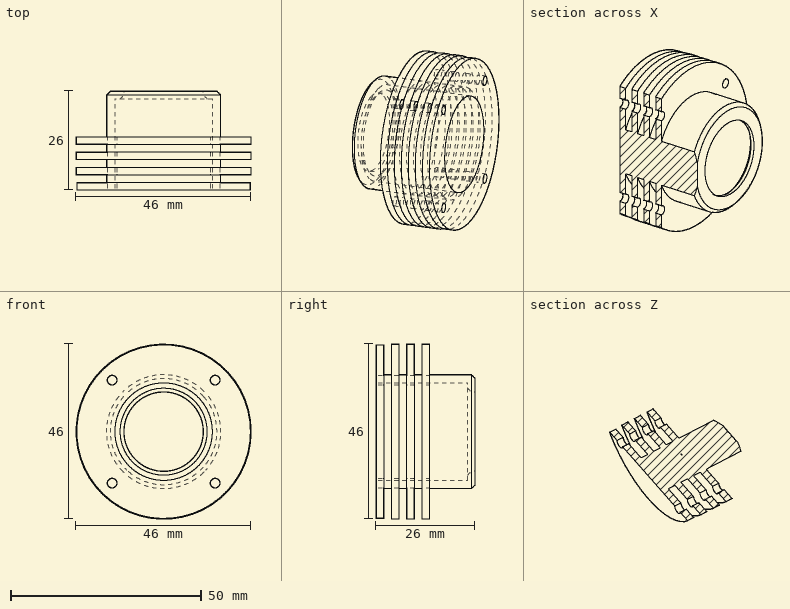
import cadquery as cq

length = 26.0
sleeve_diameter = 30.0
end_chamfer = 1.0

disc_count = 4
length_in_discs = 13
disc_thickness = length / length_in_discs
disc_pitch = 2 * disc_thickness
flange_diameter = 45.6
fin_diameter = 46.0

bore_diameter = 25.6
bevel_diameter = 22.85
lip_diameter = 20.8
lip_thickness = 2.02
lip_bevel = (bevel_diameter - lip_diameter) / 2
bore_depth = length - lip_thickness

hole_diameter = 2.5
hole_spacing = 27.05


def cylinder(diameter, start, depth):
    """Solid cylinder on the Y axis, extending toward +Y from start."""
    plane = cq.Workplane("XZ", origin=(0, start, 0))
    return plane.circle(diameter / 2).extrude(-depth)


def finned_body():
    body = cylinder(sleeve_diameter, 0, length).faces(">Y").chamfer(end_chamfer)
    for index in range(disc_count):
        diameter = flange_diameter if index == 0 else fin_diameter
        body = body.union(cylinder(diameter, index * disc_pitch, disc_thickness))
    return body


def stepped_bore():
    """Revolved half-section of the bore, with radius along X."""
    profile = [
        (0, 0),
        (bore_diameter / 2, 0),
        (bore_diameter / 2, bore_depth),
        (bevel_diameter / 2, bore_depth),
        (lip_diameter / 2, bore_depth + lip_bevel),
        (lip_diameter / 2, length),
        (0, length),
    ]
    return cq.Workplane("XY").polyline(profile).close().revolve(360, (0, 0), (0, 1))


def mounting_holes():
    corners = cq.Workplane("XZ").rect(hole_spacing, hole_spacing, forConstruction=True).vertices()
    return corners.circle(hole_diameter / 2).extrude(-length)


result = finned_body().cut(stepped_bore()).cut(mounting_holes())